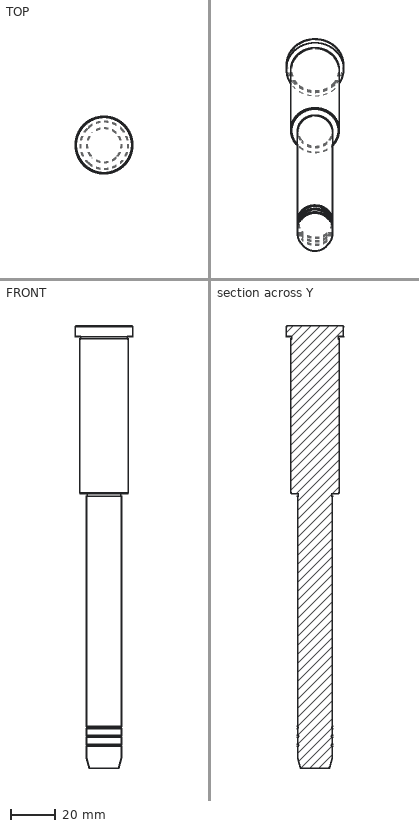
import cadquery as cq
import math

total_length = 200.0

head_diameter = 26.0
head_thickness = 5.0
head_chamfer = 0.5

body_diameter = 22.0
body_end_from_top = 76.0
body_chamfer = 0.5

relief_width = 1.0
relief_depth = 0.4

shank_diameter = 16.0

groove_count = 3
groove_width = 1.0
groove_depth = 0.5
lowest_groove_height = 10.5
groove_pitch = 4.0

tip_length = 5.0
tip_half_angle = 15.0
tip_fillet = 0.5

head_bottom = total_length - head_thickness
body_bottom = total_length - body_end_from_top

tip_end_diameter = shank_diameter - 2 * tip_length * math.tan(math.radians(tip_half_angle))


def cylinder(diameter, bottom, top):
    """Round bar on the Z axis between two heights."""
    return cq.Workplane("XY").workplane(offset=bottom).circle(diameter / 2).extrude(top - bottom)


def shoulder_relief(diameter, shoulder_height):
    """Ring to remove from a bar just below a shoulder."""
    bottom = shoulder_height - relief_width
    outer = cylinder(diameter, bottom, shoulder_height)
    return outer.cut(cylinder(diameter - 2 * relief_depth, bottom, shoulder_height))


def make_head():
    return cylinder(head_diameter, head_bottom, total_length).faces(">Z").edges().chamfer(head_chamfer)


def make_body():
    body = cylinder(body_diameter, body_bottom, head_bottom).faces("<Z").edges().chamfer(body_chamfer)
    return body.cut(shoulder_relief(body_diameter, head_bottom))


def make_groove(height):
    """V-section ring whose two flanks meet below the shank surface."""
    surface = shank_diameter / 2
    profile = [
        (surface, height - groove_width / 2),
        (surface - groove_depth, height),
        (surface, height + groove_width / 2),
    ]
    return cq.Workplane("XZ").polyline(profile).close().revolve()


def make_shank():
    shank = cylinder(shank_diameter, tip_length, body_bottom)
    shank = shank.cut(shoulder_relief(shank_diameter, body_bottom))
    for index in range(groove_count):
        shank = shank.cut(make_groove(lowest_groove_height + index * groove_pitch))
    return shank


def make_tip():
    tip = (
        cq.Workplane("XY")
        .circle(tip_end_diameter / 2)
        .workplane(offset=tip_length)
        .circle(shank_diameter / 2)
        .loft(ruled=True)
    )
    return tip.faces("<Z").edges().fillet(tip_fillet)


result = make_head().union(make_body()).union(make_shank()).union(make_tip())